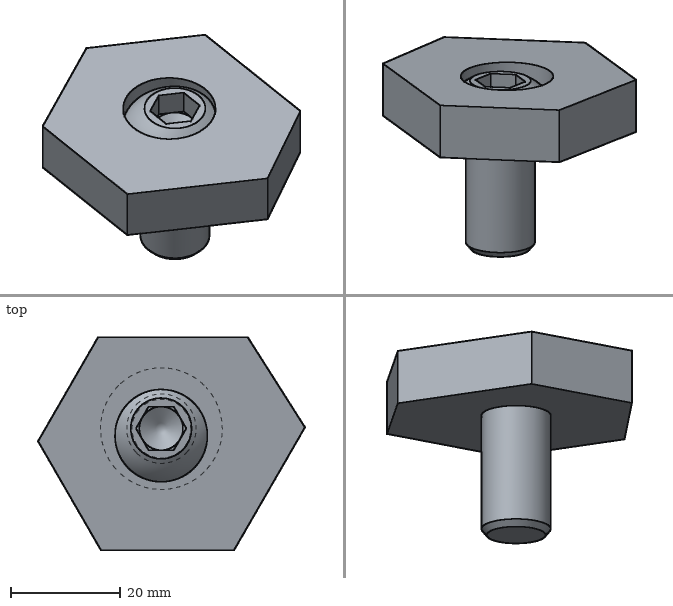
import cadquery as cq
import math

overall_length = 48.8

plate_thickness = 10.0
side_distances = {
    "top": 18.0,
    "upper_left": 19.0,
    "lower_left": 20.0,
    "bottom": 21.0,
    "lower_right": 22.0,
}
side_slant = math.radians(60)
upper_right_corner_x = 15.8
opening_radius = 8.45

bolt_y = 1.3
shank_radius = 6.35
shank_projection = 22.8
tip_chamfer_height = 1.15
tip_chamfer_width = 1.0
head_radius = 11.1
head_flat_radius = head_radius / 2
head_height = 6.75
head_rim_height = 0.4
head_sink = 0.7

socket_across_flats = 7.95
socket_across_corners = socket_across_flats / math.cos(math.radians(30))
socket_depth = 4.6
socket_cone_half_angle = math.radians(60)

head_top_z = plate_thickness - head_sink
head_seat_z = head_top_z - head_height
head_rim_z = head_seat_z + head_rim_height


def side_x(name, y):
    """Distance along X from the origin to a sloping side.

    y is the distance along Y from the origin, positive toward the half that the side belongs to.
    """
    return (side_distances[name] - y * math.cos(side_slant)) / math.sin(side_slant)


def plate_corners():
    top_y = side_distances["top"]
    bottom_y = -side_distances["bottom"]
    left_y = side_distances["upper_left"] - side_distances["lower_left"]
    left_x = -side_x("upper_left", left_y)
    right_x = left_x + overall_length
    lower_right = side_distances["lower_right"]
    right_y = (right_x * math.sin(side_slant) - lower_right) / math.cos(side_slant)
    return [
        (-side_x("upper_left", top_y), top_y),
        (left_x, left_y),
        (-side_x("lower_left", -bottom_y), bottom_y),
        (side_x("lower_right", -bottom_y), bottom_y),
        (right_x, right_y),
        (upper_right_corner_x, top_y),
    ]


def dome_midpoint():
    """Point half way along the dome arc, whose centre lies on the bolt axis."""
    rise = head_top_z - head_rim_z
    centre_z = head_rim_z + (head_flat_radius**2 + rise**2 - head_radius**2) / (2 * rise)
    radius = math.hypot(head_radius, head_rim_z - centre_z)
    start = math.atan2(head_top_z - centre_z, head_flat_radius)
    end = math.atan2(head_rim_z - centre_z, head_radius)
    middle = (start + end) / 2
    return radius * math.cos(middle), centre_z + radius * math.sin(middle)


def make_bolt_blank():
    tip_z = -shank_projection
    profile = (
        cq.Workplane("XZ")
        .moveTo(0, tip_z)
        .lineTo(shank_radius - tip_chamfer_width, tip_z)
        .lineTo(shank_radius, tip_z + tip_chamfer_height)
        .lineTo(shank_radius, head_seat_z)
        .lineTo(head_radius, head_seat_z)
        .lineTo(head_radius, head_rim_z)
        .threePointArc(dome_midpoint(), (head_flat_radius, head_top_z))
        .lineTo(0, head_top_z)
        .close()
    )
    return profile.revolve(360, (0, 0, 0), (0, 1, 0)).translate((0, bolt_y, 0))


def make_socket():
    floor_z = head_top_z - socket_depth
    cone_radius = socket_across_flats / 2
    cone_depth = cone_radius / math.tan(socket_cone_half_angle)
    hexagon = (
        cq.Workplane("XY", origin=(0, bolt_y, floor_z))
        .polygon(6, socket_across_corners)
        .extrude(socket_depth)
    )
    cone = cq.Workplane(
        cq.Solid.makeCone(cone_radius, 0, cone_depth, cq.Vector(0, bolt_y, floor_z), cq.Vector(0, 0, -1))
    )
    return hexagon.union(cone)


def make_plate(bolt_blank):
    block = cq.Workplane("XY").polyline(plate_corners()).close().extrude(plate_thickness)
    opening = (
        cq.Workplane("XY", origin=(0, 0, head_rim_z))
        .circle(opening_radius)
        .extrude(plate_thickness - head_rim_z)
    )
    return block.cut(opening).cut(bolt_blank)


bolt_blank = make_bolt_blank()
bolt = bolt_blank.cut(make_socket())
plate = make_plate(bolt_blank)

result = cq.Compound.makeCompound([plate.val(), bolt.val()])